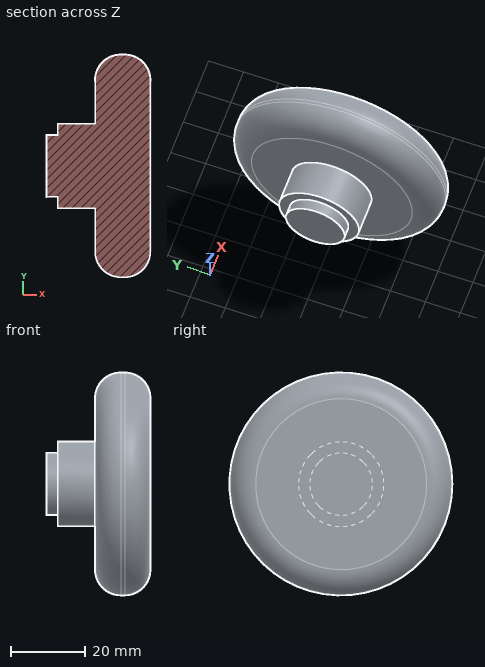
import cadquery as cq

wheel_diameter = 60.0
wheel_width = 15.0
rim_radius = 7.0
hub_diameter = 22.85
hub_length = 10.0
tip_diameter = 16.8
tip_length = 3.0

hub_start = tip_length
wheel_start = hub_start + hub_length


def disc(start, length, diameter):
    """Solid cylinder on the X axis, reaching from start towards +X."""
    return cq.Workplane("YZ", origin=(start, 0, 0)).circle(diameter / 2).extrude(length)


wheel = disc(wheel_start, wheel_width, wheel_diameter).edges().fillet(rim_radius)

hub = disc(hub_start, hub_length, hub_diameter)
tip = disc(0, tip_length, tip_diameter)

result = wheel.union(hub).union(tip)